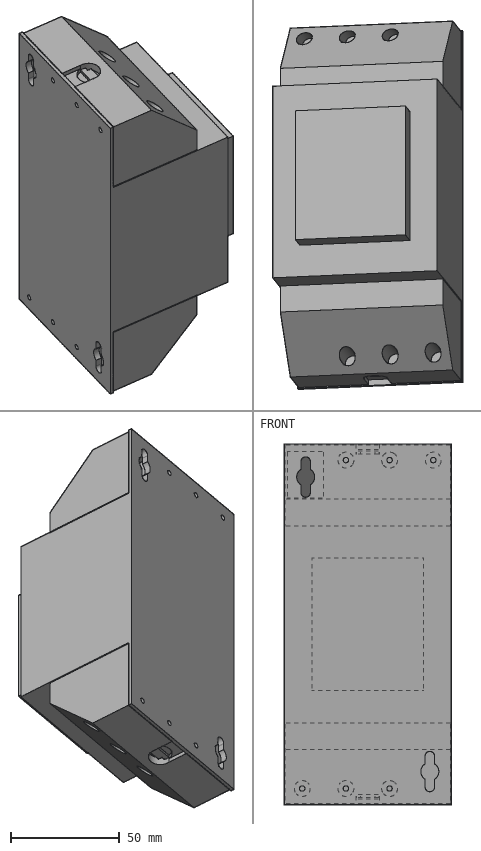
import cadquery as cq

width = 77.0
height = 166.0
plate_depth = 1.8

housing_height = 90.6
housing_top_y = 64.4
box_width = 51.5
box_height = 61.0
overall_depth = 75.7

cover_inset = 0.5
cover_depth_y = 47.8
cover_slope = 24.9
cover_end = height / 2 - cover_inset
cover_wall = 3.0

screw_pitch = 20.1
screw_x = [-screw_pitch / 2, screw_pitch / 2, 3 * screw_pitch / 2]
screw_z = 75.5
screw_hole_diameter = 2.5
screw_hole_depth = 3.0
bore_diameter = 7.3
bore_floor_y = 15.0

keyhole_x = -28.5
keyhole_z = 67.7
keyhole_length = 18.6
keyhole_slot_width = 4.3
keyhole_head_diameter = 8.3
keyhole_depth = 3.0

hollow_width = 16.6
hollow_floor_z = 58.1

entry_diameter = 10.8
entry_y = 13.1
entry_depth = 4.2
entry_slot_depth = 2.2
step_y = 12.1
step_recess = 2.8
shoulder_length = 2.7
tongue_length = 4.6
tongue_width = 6.8


def block(x_size, y_start, y_end, z_start, z_end):
    """Box centered on x = 0, given by its width and its Y and Z limits."""
    return cq.Workplane("XY").box(
        x_size, y_end - y_start, z_end - z_start, centered=(True, False, False)
    ).translate((0, y_start, z_start))


def round_along_y(x, z, diameter, y_start, y_end):
    """Cylinder along Y between two Y limits."""
    return (
        cq.Workplane("XZ", origin=(x, y_start, z))
        .circle(diameter / 2)
        .extrude(y_start - y_end)
    )


def on_bottom(shape):
    """Turn an upper feature half a turn about Y to its lower twin."""
    return shape.rotate((0, 0, 0), (0, 1, 0), 180)


def cover_solid():
    """Upper terminal cover with its outer corner cut off at 45 degrees."""
    z_start = housing_height / 2
    cover_width = width - 2 * cover_inset
    return (
        cq.Workplane("YZ", origin=(-cover_width / 2, 0, 0))
        .moveTo(plate_depth, z_start)
        .lineTo(cover_depth_y, z_start)
        .lineTo(cover_depth_y, cover_end - cover_slope)
        .lineTo(cover_depth_y - cover_slope, cover_end)
        .lineTo(plate_depth, cover_end)
        .close()
        .extrude(cover_width)
    )


def screw_cuts():
    """Small blind holes in the plate and the wider bores that open on the cover slope."""
    cuts = cq.Workplane("XY")
    for x in screw_x:
        cuts = cuts.add(round_along_y(x, screw_z, screw_hole_diameter, 0, screw_hole_depth))
        cuts = cuts.add(round_along_y(x, screw_z, bore_diameter, bore_floor_y, cover_depth_y))
    return cuts.combine()


def keyhole_cut():
    """Upright slot crossed by a round head at its middle."""
    slot = (
        cq.Workplane("XZ", origin=(keyhole_x, 0, keyhole_z))
        .slot2D(keyhole_length, keyhole_slot_width, 90)
        .extrude(-keyhole_depth)
    )
    return slot.union(round_along_y(keyhole_x, keyhole_z, keyhole_head_diameter, 0, keyhole_depth))


def keyhole_hollow():
    """Space behind the upper keyhole, closed by a wall parallel to the cover slope."""
    roof_z = cover_end - cover_wall
    inner_slope_sum = cover_end + cover_depth_y - cover_slope - cover_wall * 2**0.5
    return (
        cq.Workplane("YZ", origin=(keyhole_x - hollow_width / 2, 0, 0))
        .moveTo(keyhole_depth, hollow_floor_z)
        .lineTo(inner_slope_sum - hollow_floor_z, hollow_floor_z)
        .lineTo(inner_slope_sum - roof_z, roof_z)
        .lineTo(keyhole_depth, roof_z)
        .close()
        .extrude(hollow_width)
    )


def cable_entry():
    """Round recess with a T-shaped step inside and a shallow slot to the plate."""
    recess_floor_z = cover_end - entry_depth
    recess = (
        cq.Workplane("XY", origin=(0, entry_y, recess_floor_z))
        .circle(entry_diameter / 2)
        .extrude(entry_depth)
    )
    step_top_z = cover_end - step_recess
    shoulder = block(entry_diameter, step_y, step_y + shoulder_length, recess_floor_z, step_top_z)
    tongue = block(tongue_width, step_y, step_y + tongue_length, recess_floor_z, step_top_z)
    slot = block(entry_diameter, plate_depth, step_y, cover_end - entry_slot_depth, cover_end)
    return recess.cut(shoulder).cut(tongue).union(slot)


plate = block(width, 0, plate_depth, -height / 2, height / 2)
housing = block(width, plate_depth, housing_top_y, -housing_height / 2, housing_height / 2)
box = block(box_width, housing_top_y, overall_depth, -box_height / 2, box_height / 2)
cover = cover_solid()
result = plate.union(housing).union(box).union(cover).union(on_bottom(cover))

for feature in (screw_cuts(), keyhole_cut(), cable_entry()):
    result = result.cut(feature).cut(on_bottom(feature))
result = result.cut(keyhole_hollow())